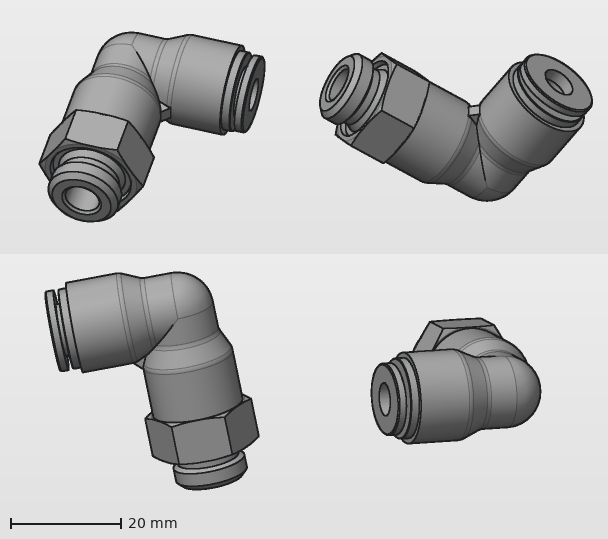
import cadquery as cq
import math


BODY_DIAMETER = 16.6
ELBOW_DIAMETER = 13.1
HOUSING_ARM = 19.05
TAPER_START_AT = 5.33
TAPER_END_AT = 9.3
TAPER_BLEND_RADIUS = 2.05
GUSSET_THICKNESS = 2.7
PASSAGE_DIAMETER = 6.0

STUD_END_AT = 33.0
HEX_FLATS = 17.0
HEX_LENGTH = 7.95
HEX_CHAMFER_DIAMETER = 17.25
HEX_CHAMFER_DROP = 0.37
THREAD_DIAMETER = 13.17
THREAD_LENGTH = 3.43
THREAD_CHAMFER = 1.05
NECK_DIAMETER = 11.2
NECK_CONE_LENGTH = 0.58
SEAL_RECESS_FLOOR_DIAMETER = 14.7
SEAL_RECESS_MOUTH_DIAMETER = 15.25
SEAL_RECESS_DEPTH = 0.9
NECK_ROOT_DIAMETER = 12.55
NECK_ROOT_CONE_LENGTH = 1.4
STUD_BORE_DIAMETER = 6.4
STUD_BORE_CHAMFER = 0.5

RING_DIAMETER = 14.7
RING_LENGTH = 1.6
RING_CHAMFER = 0.12

BUTTON_END_AT = 23.1
BUTTON_WIDTH = 14.95
BUTTON_HEIGHT = 13.05
BUTTON_FLANGE = 1.53
BUTTON_CHAMFER = 0.25
BUTTON_NECK_DIAMETER = 9.6


def turned(profile):
    """Close an outline of (radius, Y) points and turn it about the stud axis."""
    return profile.close().revolve(360, (0, 0, 0), (0, 1, 0))


def to_tube_arm(stud_arm_shape):
    """Swing a shape from the stud arm (-Y) to the tube arm (+X)."""
    return stud_arm_shape.rotate((0, 0, 0), (0, 0, 1), 90)


def disc_along_x(diameter, start, length):
    return cq.Workplane("YZ", origin=(start, 0, 0)).circle(diameter / 2).extrude(length)


def cylinder_along_stud(diameter, start, length):
    return cq.Workplane("XZ", origin=(0, -start, 0)).circle(diameter / 2).extrude(length)


taper_angle = math.atan2((BODY_DIAMETER - ELBOW_DIAMETER) / 2, TAPER_END_AT - TAPER_START_AT)
blend_setback = TAPER_BLEND_RADIUS * math.tan(taper_angle / 2)


def housing_arm():
    """Arm along -Y: elbow diameter, tapering out to the body diameter with blended corners."""
    elbow_radius = ELBOW_DIAMETER / 2
    body_radius = BODY_DIAMETER / 2
    along = blend_setback * math.cos(taper_angle)
    across = blend_setback * math.sin(taper_angle)
    blend_start = (elbow_radius, -(TAPER_START_AT - blend_setback))
    blend_end = (body_radius, -(TAPER_END_AT + blend_setback))
    profile = (
        cq.Workplane("XY")
        .lineTo(elbow_radius, 0)
        .lineTo(*blend_start)
        .tangentArcPoint((elbow_radius + across, -(TAPER_START_AT + along)), relative=False)
        .lineTo(body_radius - across, -(TAPER_END_AT - along))
        .tangentArcPoint(blend_end, relative=False)
        .lineTo(body_radius, -HOUSING_ARM)
        .lineTo(0, -HOUSING_ARM)
    )
    return turned(profile)


def gusset():
    """Web in the inner corner, with a 45 degree face between the ends of the two tapers."""
    edge = BODY_DIAMETER / 2
    reach = TAPER_END_AT + blend_setback
    corners = [(0, 0), (reach, 0), (reach, -edge), (edge, -reach), (0, -reach)]
    return cq.Workplane("XY").polyline(corners).close().extrude(GUSSET_THICKNESS / 2, both=True)


def elbow_passage():
    """Bore through both arms, with a ball-shaped corner."""
    arm = cylinder_along_stud(PASSAGE_DIAMETER, 0, HOUSING_ARM)
    return arm.union(to_tube_arm(arm)).union(cq.Workplane("XY").sphere(PASSAGE_DIAMETER / 2))


def make_housing():
    arm = housing_arm()
    corner = cq.Workplane("XY").sphere(ELBOW_DIAMETER / 2)
    return arm.union(to_tube_arm(arm)).union(corner).union(gusset()).cut(elbow_passage())


hex_end_at = HOUSING_ARM + HEX_LENGTH
recess_floor_at = hex_end_at - SEAL_RECESS_DEPTH
hex_corners = HEX_FLATS / math.cos(math.pi / 6)


def chamfered_hexagon():
    """Hexagon with corners on the X axis, its ends trimmed by shallow cones."""
    prism = cq.Workplane("XZ", origin=(0, -HOUSING_ARM, 0)).polygon(6, hex_corners).extrude(HEX_LENGTH)
    face_radius = HEX_CHAMFER_DIAMETER / 2
    corner_radius = hex_corners / 2
    trim = (
        cq.Workplane("XY")
        .moveTo(0, -HOUSING_ARM)
        .lineTo(face_radius, -HOUSING_ARM)
        .lineTo(corner_radius, -(HOUSING_ARM + HEX_CHAMFER_DROP))
        .lineTo(corner_radius, -(hex_end_at - HEX_CHAMFER_DROP))
        .lineTo(face_radius, -hex_end_at)
        .lineTo(0, -hex_end_at)
    )
    return prism.intersect(turned(trim))


def seal_recess():
    """Shallow recess in the hexagon end face, its wall widening slightly to the mouth."""
    profile = (
        cq.Workplane("XY")
        .moveTo(0, -recess_floor_at)
        .lineTo(SEAL_RECESS_FLOOR_DIAMETER / 2, -recess_floor_at)
        .lineTo(SEAL_RECESS_MOUTH_DIAMETER / 2, -hex_end_at)
        .lineTo(0, -hex_end_at)
    )
    return turned(profile)


def threaded_end():
    """Neck widening in a cone to the recess floor, then the chamfered thread cylinder."""
    neck_radius = NECK_DIAMETER / 2
    thread_radius = THREAD_DIAMETER / 2
    thread_start_at = STUD_END_AT - THREAD_LENGTH
    profile = (
        cq.Workplane("XY")
        .moveTo(0, -recess_floor_at)
        .lineTo(NECK_ROOT_DIAMETER / 2, -recess_floor_at)
        .lineTo(neck_radius, -(recess_floor_at + NECK_ROOT_CONE_LENGTH))
        .lineTo(neck_radius, -(thread_start_at - NECK_CONE_LENGTH))
        .lineTo(thread_radius, -thread_start_at)
        .lineTo(thread_radius, -(STUD_END_AT - THREAD_CHAMFER))
        .lineTo(thread_radius - THREAD_CHAMFER, -STUD_END_AT)
        .lineTo(0, -STUD_END_AT)
    )
    return turned(profile)


def make_stud():
    bore = cylinder_along_stud(STUD_BORE_DIAMETER, HOUSING_ARM, STUD_END_AT - HOUSING_ARM)
    body = chamfered_hexagon().cut(seal_recess()).union(threaded_end()).cut(bore)
    bore_mouth = body.faces("<Y").edges(cq.selectors.RadiusNthSelector(0))
    return bore_mouth.chamfer(STUD_BORE_CHAMFER)


ring_end_at = HOUSING_ARM + RING_LENGTH


def make_ring():
    ring = disc_along_x(RING_DIAMETER, HOUSING_ARM, RING_LENGTH).faces(">X").edges().chamfer(RING_CHAMFER)
    return ring.cut(disc_along_x(PASSAGE_DIAMETER, HOUSING_ARM, RING_LENGTH))


def make_button():
    """Round neck carrying an oval flange, wider along Y than it is high along Z."""
    flange = (
        cq.Workplane("YZ", origin=(BUTTON_END_AT - BUTTON_FLANGE, 0, 0))
        .ellipse(BUTTON_WIDTH / 2, BUTTON_HEIGHT / 2)
        .extrude(BUTTON_FLANGE)
        .faces(">X")
        .edges()
        .chamfer(BUTTON_CHAMFER)
    )
    length = BUTTON_END_AT - ring_end_at
    neck = disc_along_x(BUTTON_NECK_DIAMETER, ring_end_at, length - BUTTON_FLANGE)
    return neck.union(flange).cut(disc_along_x(PASSAGE_DIAMETER, ring_end_at, length))


housing = make_housing()
stud = make_stud()
ring = make_ring()
button = make_button()

result = cq.Compound.makeCompound([housing.val(), stud.val(), ring.val(), button.val()])